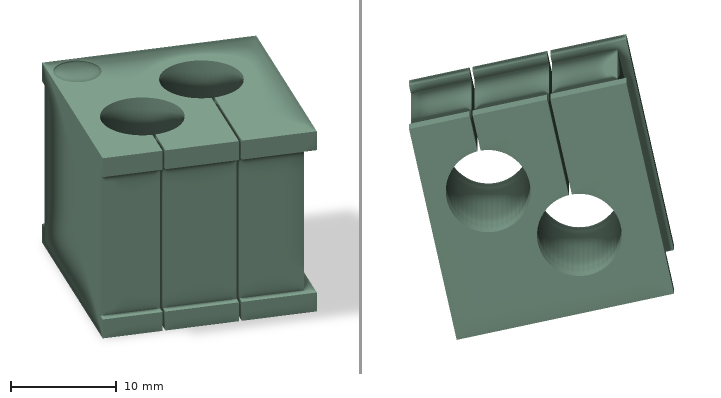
import cadquery as cq

side = 21.0
height = 19.0
flange_thickness = 2.0

side_recess = 0.8
back_recess = 1.0

hole_diameter = 8.0
slit_width = 0.3
hole_centers = [(-3.0, 3.0), (3.0, -4.5)]

mark_diameter = 4.54
mark_depth = 0.1
mark_center = (-7.81, -7.81)


def make_body():
    """Square block waisted on three sides between its two flanges."""
    flange = cq.Workplane("XY").box(side, side, flange_thickness)
    flange_offset = (height - flange_thickness) / 2
    waist = cq.Workplane("XY").box(side - 2 * side_recess, side - back_recess, height)
    waist = waist.translate((0, -back_recess / 2, 0))
    for direction in (-1, 1):
        waist = waist.union(flange.translate((0, 0, direction * flange_offset)))
    return waist


def make_slotted_hole(x, y):
    """Vertical through hole joined to a slit that runs out to the +X face."""
    hole = cq.Workplane("XY").center(x, y).circle(hole_diameter / 2).extrude(height / 2, both=True)
    slit_length = side / 2 - x
    slit = cq.Workplane("XY").box(slit_length, slit_width, height)
    return hole.union(slit.translate((x + slit_length / 2, y, 0)))


def make_mark_recess():
    """Shallow disc cut down from the top face."""
    mark = cq.Workplane("XY").workplane(offset=height / 2).center(*mark_center)
    return mark.circle(mark_diameter / 2).extrude(-mark_depth)


result = make_body()
for hole_x, hole_y in hole_centers:
    result = result.cut(make_slotted_hole(hole_x, hole_y))
result = result.cut(make_mark_recess())